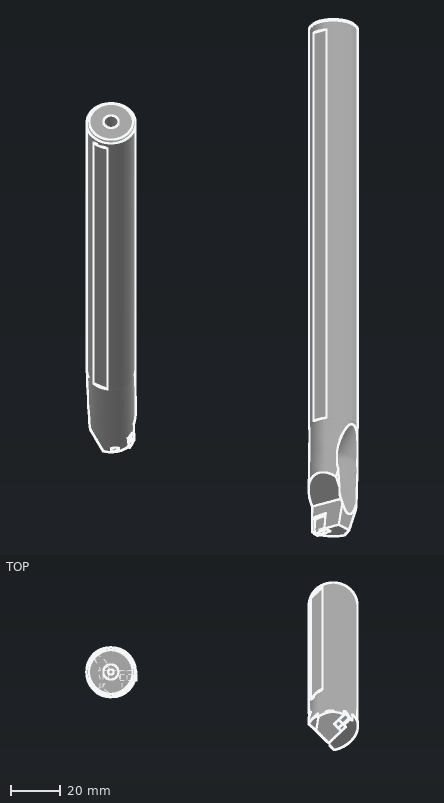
import cadquery as cq
import math

total_length = 219.5
shank_radius = 20.0 / 2
head_end_radius = 20.6 / 2
bar_bottom = 0.33
neck_radius = 19.5 / 2
head_height = 43.2
end_chamfer = 1.0

flat_bottom = 44.3
flat_top = 214.5
flat_distance = 9.5

bore_radius = 3.0
bore_depth = 8.8
bore_floor_radius = 1.0
bore_floor_depth = 13.2

flute_radius = 7.2
flute_x = -8.0
flute_upper_bend = cq.Vector(flute_x, 0, 28.7)
flute_lower_bend = cq.Vector(flute_x, 0, 24.1)
flute_upper_slope = 38.0
flute_lower_x_run = -0.22
flute_lower_y_run = -0.27
flute_reach = 43.9

nose_face_y = 0.7
nose_slope_bottom = 11.5
nose_slope_top = 20.6
nose_front_x = -3.0
nose_front_run = 0.2
nose_front_height = 24.1

facet_a = cq.Vector(1.65, -10.0, 0)
facet_b = cq.Vector(-3.0, -6.5, 0)
facet_c = cq.Vector(-5.0, -9.0, 10.3)

insert_side = 6.4
insert_angle = 80.0
insert_tip_x = 10.3
insert_top_y = -1.0
insert_thickness = 2.5
screw_radius = 1.3
screw_x = 6.0
screw_z = 2.2

clearance = 22.0


def make_blank():
    """Round shank with a slightly flared head."""
    return (
        cq.Workplane("XZ")
        .moveTo(0, bar_bottom)
        .lineTo(head_end_radius, bar_bottom)
        .lineTo(neck_radius, head_height)
        .lineTo(shank_radius, flat_bottom)
        .lineTo(shank_radius, total_length - end_chamfer)
        .lineTo(shank_radius - end_chamfer, total_length)
        .lineTo(0, total_length)
        .close()
        .revolve(360, (0, 0), (0, 1))
    )


def make_flat(side):
    """Slab removed for one clamping flat; side is +1 or -1 along Y."""
    return cq.Workplane("XY").box(
        2 * clearance, clearance, flat_top - flat_bottom, centered=(True, True, False)
    ).translate((0, side * (flat_distance + clearance / 2), flat_bottom))


def make_bore():
    """Counterbored coolant bore in the shank end."""
    top = cq.Workplane("XY").workplane(offset=total_length)
    entry = top.circle(bore_radius).extrude(-bore_depth)
    return entry.union(top.circle(bore_floor_radius).extrude(-bore_floor_depth))


def make_channel(start, direction, length):
    """Round channel leaving the given point, with a ball-shaped start."""
    channel = cq.Workplane(cq.Solid.makeCylinder(flute_radius, length, start, direction))
    ball = cq.Workplane("XY").sphere(flute_radius).translate(start.toTuple())
    return channel.union(ball)


def make_flute():
    slope = math.radians(flute_upper_slope)
    upper_direction = cq.Vector(-math.sin(slope), 0, math.cos(slope))
    lower_direction = cq.Vector(flute_lower_x_run, flute_lower_y_run, -1)
    middle = flute_lower_bend - flute_upper_bend
    upper = make_channel(flute_upper_bend, upper_direction, flute_reach)
    upright = make_channel(flute_upper_bend, middle, middle.Length)
    lower = make_channel(flute_lower_bend, lower_direction, flute_reach)
    return upper.union(upright).union(lower)


def make_nose_cut():
    """Removes the +Y half of the nose below a sloping shoulder."""
    shoulder_run = shank_radius - nose_face_y
    shoulder_rise = nose_slope_top - nose_slope_bottom
    far_z = nose_slope_bottom + shoulder_rise * clearance / shoulder_run
    far_y = nose_face_y + clearance
    return (
        cq.Workplane("YZ")
        .polyline([
            (nose_face_y, -clearance),
            (nose_face_y, nose_slope_bottom),
            (far_y, far_z),
            (far_y, -clearance),
        ])
        .close()
        .extrude(clearance, both=True)
    )


def make_front_cut():
    """Removes the -X side of the nose along a sloping plane."""
    top_x = nose_front_x - nose_front_run * nose_front_height
    return (
        cq.Workplane("XZ")
        .polyline([
            (nose_front_x, 0),
            (top_x, nose_front_height),
            (-clearance, nose_front_height),
            (-clearance, 0),
        ])
        .close()
        .extrude(clearance, both=True)
    )


def make_facet_cut():
    """Block whose face lies on the plane through the three facet points."""
    edge = facet_b - facet_a
    normal = edge.cross(facet_c - facet_a)
    if normal.y > 0:
        normal = normal * -1
    plane = cq.Plane(origin=facet_a, xDir=edge, normal=normal)
    return cq.Workplane(plane).rect(2 * clearance, 2 * clearance).extrude(clearance)


def make_rhombus(top_y, thickness):
    """Rhombic plate with its cutting corner at the bar's lower +X corner."""
    relief = math.radians((90 - insert_angle) / 2)
    long_run = insert_side * math.cos(relief)
    short_run = insert_side * math.sin(relief)
    return (
        cq.Workplane("XZ", origin=(0, top_y, 0))
        .polyline([
            (insert_tip_x, 0),
            (insert_tip_x - long_run, short_run),
            (insert_tip_x - long_run - short_run, short_run + long_run),
            (insert_tip_x - short_run, long_run),
        ])
        .close()
        .extrude(thickness)
    )


def make_bar():
    seat_y = insert_top_y - insert_thickness
    pocket = make_rhombus(nose_face_y, nose_face_y - seat_y)
    screw_hole = (
        cq.Workplane("XZ", origin=(0, seat_y, 0))
        .center(screw_x, screw_z)
        .circle(screw_radius)
        .extrude(clearance)
    )
    bar = make_blank().cut(make_bore())
    for side in (1, -1):
        bar = bar.cut(make_flat(side))
    for cutter in (make_flute(), make_nose_cut(), make_front_cut(), make_facet_cut()):
        bar = bar.cut(cutter)
    return bar.cut(pocket).cut(screw_hole)


bar = make_bar()
insert = make_rhombus(insert_top_y, insert_thickness)

result = cq.Compound.makeCompound([bar.val(), insert.val()])